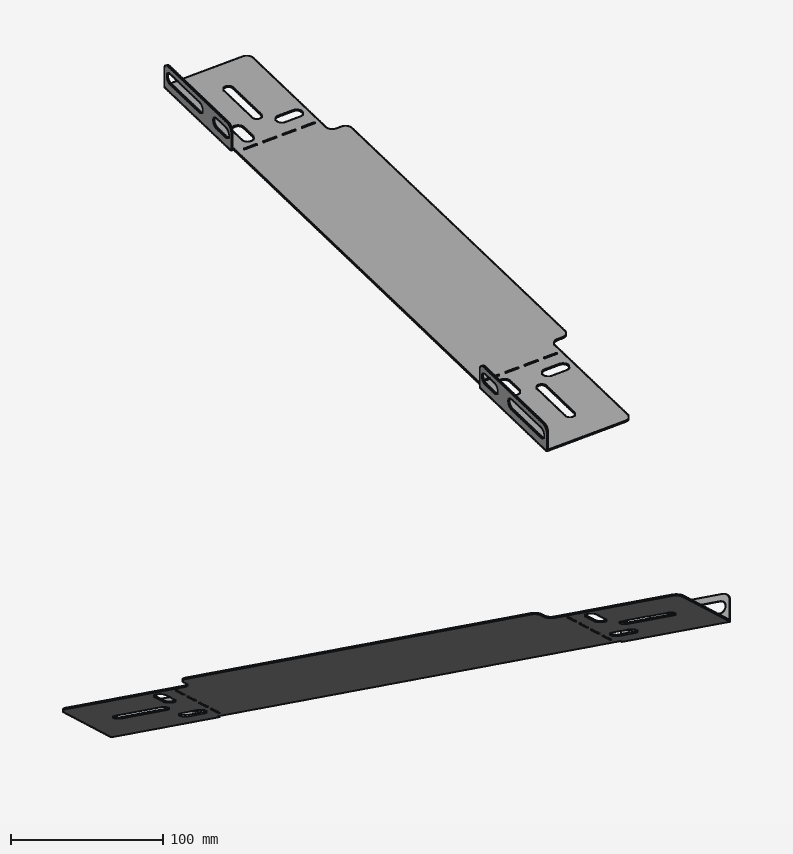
import cadquery as cq

LENGTH = 474.0
DEPTH = 80.0
HEIGHT = 20.0
SHEET = 1.2

TAB_LENGTH = 274.0
TAB_STEP = 14.0
FRONT_SETBACK = 2.0
CORNER_RADIUS = 5.0

FLANGE_LENGTH = 83.0

SLOT_WIDTH = 8.5
SHORT_SLOT = 20.0
WING_SLOT_INSET = 72.0
CROSS_SLOT_Y = 52.0
LONGWISE_SLOT_Y = 16.0
NARROW_SLOT_INSET = 43.0
NARROW_SLOT_Y = 34.0
NARROW_SLOT_LENGTH = 42.0
NARROW_SLOT_WIDTH = 7.0

FLANGE_SLOT_Z = 11.0
FLANGE_LONG_SLOT = 45.0
FLANGE_LONG_INSET = 25.5
FLANGE_SHORT_INSET = 70.5

ALONG_X = 0
ALONG_Y = 90

PERFORATION_X = 150.0
PERFORATION_MID_Y = 35.0
PERFORATION_COUNT = 4
PERFORATION_PITCH = 15.0
PERFORATION_LENGTH = 10.0
PERFORATION_WIDTH = 1.0

HALF_LENGTH = LENGTH / 2
WING_BACK = DEPTH - TAB_STEP


def make_plate():
    """Flat plate with a stepped rear edge and rounded rear corners."""
    wings = cq.Workplane("XY").box(
        LENGTH, WING_BACK - FRONT_SETBACK, SHEET, centered=(True, False, False)
    )
    middle = cq.Workplane("XY").box(
        TAB_LENGTH, DEPTH - FRONT_SETBACK, SHEET, centered=(True, False, False)
    )
    plate = wings.union(middle).translate((0, FRONT_SETBACK, 0))
    return plate.edges("|Z").edges("not <Y").fillet(CORNER_RADIUS)


def make_flange(side):
    """Upright flange with a foot joining it to the plate; side is -1 or +1 along X."""
    upright = cq.Workplane("XY").box(FLANGE_LENGTH, SHEET, HEIGHT, centered=False)
    upright = upright.edges("|Y and >Z").fillet(CORNER_RADIUS)
    foot = cq.Workplane("XY").box(FLANGE_LENGTH, FRONT_SETBACK, SHEET, centered=False)
    start_x = -HALF_LENGTH if side < 0 else HALF_LENGTH - FLANGE_LENGTH
    return upright.union(foot).translate((start_x, 0, 0))


def plate_slot(x, y, length, width, angle=ALONG_X):
    """Cutter for a round-ended slot through the plate."""
    return cq.Workplane("XY").center(x, y).slot2D(length, width, angle).extrude(SHEET)


def flange_slot(x, length):
    """Cutter for a round-ended slot through a flange."""
    return cq.Workplane("XZ").center(x, FLANGE_SLOT_Z).slot2D(length, SLOT_WIDTH).extrude(-SHEET)


def cut_wing_slots(body, side):
    """Two short slots and one narrow slot in the wing at one end."""
    slot_x = side * (HALF_LENGTH - WING_SLOT_INSET)
    narrow_x = side * (HALF_LENGTH - NARROW_SLOT_INSET)
    body = body.cut(plate_slot(slot_x, CROSS_SLOT_Y, SHORT_SLOT, SLOT_WIDTH, ALONG_Y))
    body = body.cut(plate_slot(slot_x, LONGWISE_SLOT_Y, SHORT_SLOT, SLOT_WIDTH))
    return body.cut(plate_slot(narrow_x, NARROW_SLOT_Y, NARROW_SLOT_LENGTH, NARROW_SLOT_WIDTH))


def cut_flange_slots(body, side):
    """One long and one short slot in the flange at one end."""
    body = body.cut(flange_slot(side * (HALF_LENGTH - FLANGE_LONG_INSET), FLANGE_LONG_SLOT))
    return body.cut(flange_slot(side * (HALF_LENGTH - FLANGE_SHORT_INSET), SHORT_SLOT))


def cut_perforations(body, side):
    """Row of thin slits along the fold line at one end."""
    cutters = (
        cq.Workplane("XY")
        .center(side * PERFORATION_X, PERFORATION_MID_Y)
        .rarray(1, PERFORATION_PITCH, 1, PERFORATION_COUNT)
        .rect(PERFORATION_WIDTH, PERFORATION_LENGTH)
        .extrude(SHEET)
    )
    return body.cut(cutters)


result = make_plate()
for end in (-1, 1):
    result = result.union(make_flange(end))
    result = cut_wing_slots(result, end)
    result = cut_flange_slots(result, end)
    result = cut_perforations(result, end)